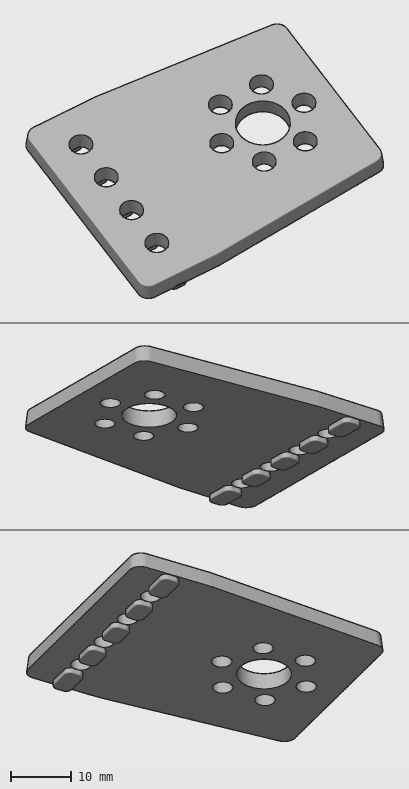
import cadquery as cq
import math

plate_length = 49.0
plate_thickness = 3.0
front_width = 39.0
back_width = 33.5
straight_length = 14.4
corner_radius = 2.0
plate_draft = 5.0
top_edge_fillet = 0.25

pitch = 8.0
hole_bottom_diameter = 3.4
hole_top_diameter = 3.95
row_hole_count = 4
row_y = 7.0
ring_hole_count = 6
ring_start_angle = 90.0
ring_radius = pitch
ring_center_y = 35.0
center_bore_diameter = 9.1

pad_height = 1.0
pad_depth = 3.4
pad_gap = 3.25
inner_pad_width = pitch - pad_gap
inner_pad_count = row_hole_count - 1
end_pad_inset = 0.15
pad_corner_radius = 1.1
pad_edge_fillet = 0.2


def centered_row(count):
    """X positions of a row on the common pitch, centred on X = 0."""
    middle = (count - 1) / 2
    return [(i - middle) * pitch for i in range(count)]


def make_plate():
    """Drafted plate with rounded corners and a softened top edge."""
    outline = [
        (-front_width / 2, 0),
        (front_width / 2, 0),
        (front_width / 2, straight_length),
        (back_width / 2, plate_length),
        (-back_width / 2, plate_length),
        (-front_width / 2, straight_length),
    ]
    block = cq.Workplane("XY").polyline(outline).close().extrude(plate_thickness, taper=plate_draft)
    corners = block.edges("not #Z").filter(lambda edge: abs(edge.Center().y - straight_length) > corner_radius)
    rounded = corners.fillet(corner_radius)
    return rounded.faces(">Z").edges().fillet(top_edge_fillet)


def make_pad(center_x, width):
    """Rounded pad reaching down from the underside of the plate."""
    return (
        cq.Workplane("XY")
        .center(center_x, row_y)
        .rect(width, pad_depth)
        .extrude(-pad_height)
        .edges("|Z")
        .fillet(pad_corner_radius)
        .faces("<Z")
        .edges()
        .fillet(pad_edge_fillet)
    )


def add_pads(body):
    """Join the inner pads and the two wider end pads to the plate."""
    for x in centered_row(inner_pad_count):
        body = body.union(make_pad(x, inner_pad_width))
    last_hole_x = centered_row(row_hole_count)[-1]
    end_pad_inner_x = last_hole_x + pad_gap / 2
    end_pad_outer_x = front_width / 2 - end_pad_inset
    end_pad_x = (end_pad_inner_x + end_pad_outer_x) / 2
    for side in (-1, 1):
        body = body.union(make_pad(side * end_pad_x, end_pad_outer_x - end_pad_inner_x))
    return body


def make_tapered_hole(x, y):
    """Cone filling one hole through the plate."""
    bottom_radius = hole_bottom_diameter / 2
    top_radius = hole_top_diameter / 2
    return cq.Solid.makeCone(bottom_radius, top_radius, plate_thickness, pnt=cq.Vector(x, y, 0))


def cut_holes(body):
    """Cut the row of holes, the ring of holes and the bore in its middle."""
    hole_centers = [(x, row_y) for x in centered_row(row_hole_count)]
    for i in range(ring_hole_count):
        angle = math.radians(ring_start_angle + i * 360 / ring_hole_count)
        x = ring_radius * math.cos(angle)
        y = ring_center_y + ring_radius * math.sin(angle)
        hole_centers.append((x, y))
    for x, y in hole_centers:
        body = body.cut(make_tapered_hole(x, y))
    bore = cq.Workplane("XY").center(0, ring_center_y).circle(center_bore_diameter / 2).extrude(plate_thickness)
    return body.cut(bore)


result = cut_holes(add_pads(make_plate()))